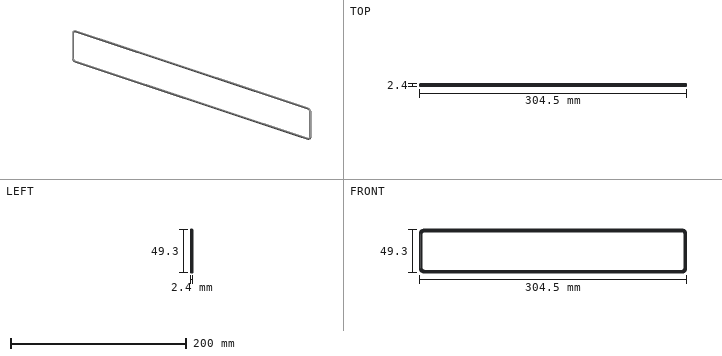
import cadquery as cq

length = 304.5
height = 49.3
cord_diameter = 2.4
outer_corner_radius = 5.2

cord_radius = cord_diameter / 2
half_length = length / 2 - cord_radius
half_height = height / 2 - cord_radius
corner_radius = outer_corner_radius - cord_radius
straight_x = half_length - corner_radius
straight_z = half_height - corner_radius

centreline = (
    cq.Workplane("XZ")
    .moveTo(0, -half_height)
    .lineTo(straight_x, -half_height)
    .tangentArcPoint((half_length, -straight_z), relative=False)
    .lineTo(half_length, straight_z)
    .tangentArcPoint((straight_x, half_height), relative=False)
    .lineTo(-straight_x, half_height)
    .tangentArcPoint((-half_length, straight_z), relative=False)
    .lineTo(-half_length, -straight_z)
    .tangentArcPoint((-straight_x, -half_height), relative=False)
    .close()
)

result = (
    cq.Workplane("YZ", origin=(0, 0, -half_height))
    .circle(cord_radius)
    .sweep(centreline)
)